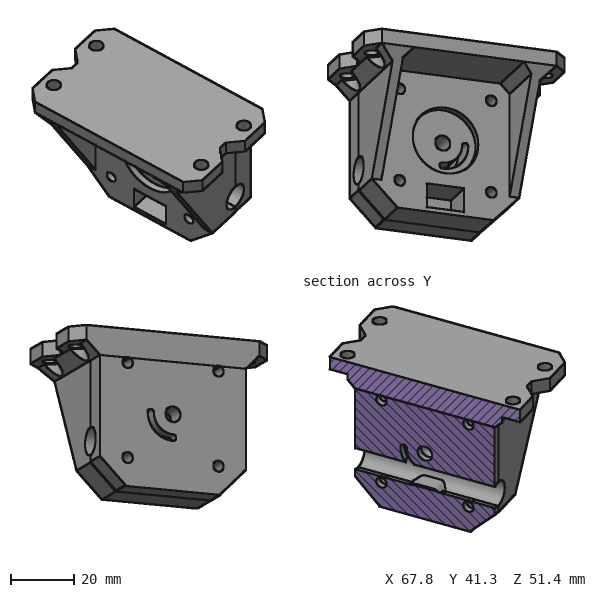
import cadquery as cq
import math

plate_length = 67.8
plate_width = 41.3
plate_thickness = 4.8
plate_chamfer = 4.35
notch_floor = 3.2
overall_height = 51.35

body_half_width = 24.95
body_depth = 20.0
cover_depth = 8.15
bottom_chamfer = 8.7
arm_thickness = 3.25
inner_chamfer = 3.1

screw_x = 29.4
screw_inset_y = 9.55
screw_diameter = 4.5
screw_head_diameter = 8.3

shaft_z = 24.8
shaft_diameter = 5.0
motor_screw_spacing = 31.0
motor_screw_diameter = 3.5
motor_recess_diameter = 22.2
motor_recess_depth = 2.5
slot_radius = 7.6
slot_width = 2.1

socket_width = 12.6
socket_height = 8.0
socket_floor_z = 1.5

tube_diameter = 9.0
tube_z = 15.6
anvil_height = 1.5
anvil_ramp_radius = 2.7
anvil_top_length = 5.4

cover_chamfer_lift = 0.3

plate_bottom_z = overall_height - plate_thickness
wing_half_width = plate_length / 2 - plate_chamfer
wing_bottom_z = plate_bottom_z - (wing_half_width - body_half_width)
arm_inner_x = body_half_width - arm_thickness
bottom_half_width = body_half_width - bottom_chamfer
screw_points = [
    (x, y)
    for x in (-screw_x, screw_x)
    for y in (-screw_inset_y, screw_inset_y - plate_width)
]


def extrude_y(sketch, y_back, y_front):
    """Extrude a sketch drawn on the XZ plane from y_back toward -Y to y_front."""
    return sketch.extrude(y_back - y_front).translate((0, y_back, 0))


def mirrored_outline(right_side):
    """Closed XZ outline from the points of its +X half, listed from bottom to top."""
    left_side = [(-x, z) for x, z in reversed(right_side)]
    return cq.Workplane("XZ").polyline(right_side + left_side).close()


def arm_gap():
    """Space between the two arms, in front of the motor face."""
    outline = [
        (arm_inner_x, 0),
        (arm_inner_x, plate_bottom_z - inner_chamfer),
        (arm_inner_x - inner_chamfer, plate_bottom_z),
    ]
    return extrude_y(mirrored_outline(outline), -body_depth, -plate_width)


def arm_slope():
    """Wedge removed from the arms, from the plate's front edge down to the motor face."""
    outline = [
        (-plate_width, plate_bottom_z),
        (-body_depth, bottom_chamfer),
        (-body_depth, 0),
        (-plate_width, 0),
    ]
    return cq.Workplane("YZ").polyline(outline).close().extrude(plate_length / 2, both=True)


def plate():
    """Top plate with chamfered corners and a trapezoidal notch in each end."""
    slab = (
        cq.Workplane("XY", origin=(0, -plate_width / 2, plate_bottom_z))
        .rect(plate_length, plate_width)
        .extrude(plate_thickness)
        .edges("|Z")
        .chamfer(plate_chamfer)
    )
    notch_half_floor = notch_floor / 2
    notch_half_mouth = notch_half_floor + plate_chamfer
    for side in (-1, 1):
        end_x = side * plate_length / 2
        floor_x = side * (plate_length / 2 - plate_chamfer)
        notch = (
            cq.Workplane("XY", origin=(0, -plate_width / 2, plate_bottom_z))
            .polyline([
                (end_x, -notch_half_mouth),
                (floor_x, -notch_half_floor),
                (floor_x, notch_half_floor),
                (end_x, notch_half_mouth),
            ])
            .close()
            .extrude(plate_thickness)
        )
        slab = slab.cut(notch)
    return slab


def plate_screw_holes():
    return cq.Workplane("XY").pushPoints(screw_points).circle(screw_diameter / 2).extrude(overall_height)


def screw_head_clearances():
    """Cylinders under the plate that cut the wings clear of the plate screws."""
    head_circles = cq.Workplane("XY").pushPoints(screw_points).circle(screw_head_diameter / 2)
    return head_circles.extrude(plate_bottom_z)


def tube_bore():
    return (
        cq.Workplane("YZ", origin=(0, -cover_depth, tube_z))
        .circle(tube_diameter / 2)
        .extrude(body_half_width, both=True)
    )


def motor_holes():
    """Shaft hole, four motor screw holes and the quarter-circle slot, through both bodies."""
    center = cq.Workplane("XZ", origin=(0, 0, shaft_z))
    shaft_hole = center.circle(shaft_diameter / 2).extrude(body_depth)
    screw_holes = (
        center.rect(motor_screw_spacing, motor_screw_spacing, forConstruction=True)
        .vertices()
        .circle(motor_screw_diameter / 2)
        .extrude(body_depth)
    )
    outer = slot_radius + slot_width / 2
    inner = slot_radius - slot_width / 2
    diagonal = math.sqrt(0.5)
    slot = (
        center.moveTo(outer, 0)
        .threePointArc((outer * diagonal, -outer * diagonal), (0, -outer))
        .threePointArc((-slot_width / 2, -slot_radius), (0, -inner))
        .threePointArc((inner * diagonal, -inner * diagonal), (inner, 0))
        .threePointArc((slot_radius, slot_width / 2), (outer, 0))
        .close()
        .extrude(body_depth)
    )
    return shaft_hole.union(screw_holes).union(slot)


def motor_recess():
    recess = cq.Workplane("XZ", origin=(0, 0, shaft_z)).circle(motor_recess_diameter / 2)
    return extrude_y(recess, motor_recess_depth - body_depth, -body_depth)


def connector_socket():
    """Rectangular opening through the bracket, closed at the back by the cover."""
    center_z = socket_floor_z + socket_height / 2
    socket = cq.Workplane("XZ", origin=(0, 0, center_z)).rect(socket_width, socket_height)
    return extrude_y(socket, -cover_depth, -body_depth)


def anvil():
    """Flat-topped ridge across the tube bore floor, under the shaft, with S-curved ramps."""
    bore_floor_z = tube_z - tube_diameter / 2
    middle_z = bore_floor_z + anvil_height / 2
    top_z = bore_floor_z + anvil_height
    turn = math.acos(1 - anvil_height / 2 / anvil_ramp_radius)
    half_ramp = anvil_ramp_radius * math.sin(turn)
    arc_mid_x = anvil_ramp_radius * math.sin(turn / 2)
    arc_mid_z = anvil_ramp_radius * (1 - math.cos(turn / 2))
    top_x = anvil_top_length / 2
    middle_x = top_x + half_ramp
    foot_x = middle_x + half_ramp
    ridge = (
        cq.Workplane("XZ")
        .moveTo(-foot_x, bore_floor_z)
        .threePointArc((-foot_x + arc_mid_x, bore_floor_z + arc_mid_z), (-middle_x, middle_z))
        .threePointArc((-top_x - arc_mid_x, top_z - arc_mid_z), (-top_x, top_z))
        .lineTo(top_x, top_z)
        .threePointArc((top_x + arc_mid_x, top_z - arc_mid_z), (middle_x, middle_z))
        .threePointArc((foot_x - arc_mid_x, bore_floor_z + arc_mid_z), (foot_x, bore_floor_z))
        .close()
        .extrude(body_depth)
    )
    return ridge.intersect(tube_bore())


def lower_block():
    """Front part of the bracket below the plate, with its bottom corners chamfered."""
    outline = [
        (bottom_half_width, 0),
        (body_half_width, bottom_chamfer),
        (body_half_width, plate_bottom_z),
    ]
    return extrude_y(mirrored_outline(outline), -cover_depth, -plate_width)


def wings():
    """Full-width band with sloping ends that carries the plate, above the cover."""
    outline = [
        (body_half_width, wing_bottom_z),
        (wing_half_width, plate_bottom_z),
    ]
    return extrude_y(mirrored_outline(outline), 0, -plate_width)


def make_bracket():
    body = lower_block().union(wings())
    body = body.cut(arm_slope()).cut(arm_gap()).cut(screw_head_clearances())
    body = body.union(plate()).cut(plate_screw_holes())
    body = body.cut(motor_holes()).cut(motor_recess()).cut(connector_socket()).cut(tube_bore())
    return body.union(anvil())


def make_cover():
    outline = [
        (bottom_half_width, 0),
        (bottom_half_width, cover_chamfer_lift),
        (body_half_width, bottom_chamfer + cover_chamfer_lift),
        (body_half_width, wing_bottom_z),
    ]
    body = extrude_y(mirrored_outline(outline), 0, -cover_depth)
    return body.cut(motor_holes()).cut(tube_bore())


bracket = make_bracket()
cover = make_cover()

result = cq.Compound.makeCompound([bracket.val(), cover.val()])